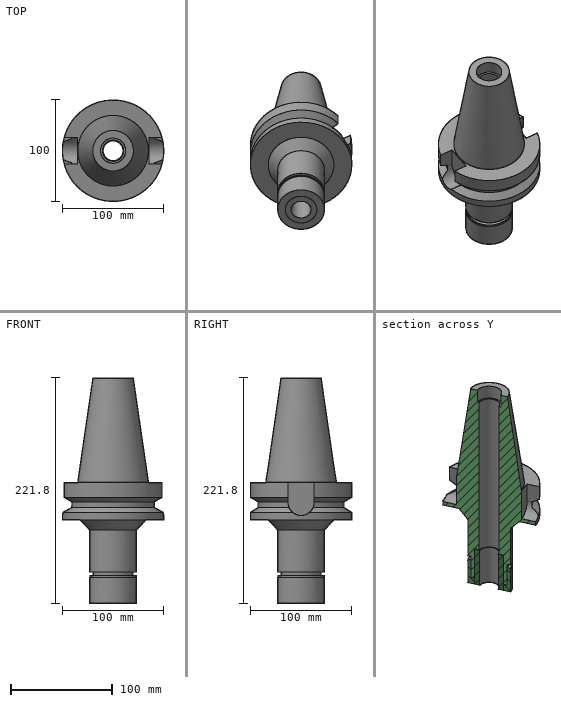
import cadquery as cq

total_height = 221.8
gauge_height = 120.0
flange_top = 118.9
groove_top = 104.5
groove_bottom = 89.5
flange_bottom = 82.0
shank_top = 72.0
shank_bottom = 30.5
nut_height = 27.3
nut_body_height = 25.3
neck_bottom = 6.7

flange_diameter = 100.0
flange_radius = flange_diameter / 2
groove_radius = 42.5
groove_wall_height = 4.7
taper_large_radius = 34.8
taper_ratio = 7 / 24
taper_small_radius = taper_large_radius - (total_height - gauge_height) * taper_ratio / 2
flange_cone_radius = 32.4
shank_radius = 23.0
neck_radius = 19.7

thread_bore_radius = 12.5
thread_bore_depth = 13.5
through_bore_radius = 10.5

slot_width = 25.7
slot_floor_distance = 35.3
slot_end_height = 86.5

nut_radius = 23.0
nut_rim_radius = 22.8
collet_radius = 15.5
collet_bore_radius = 9.8
collet_length = 40.0


def cylinder(radius, bottom, top):
    return cq.Workplane("XY").workplane(offset=bottom).circle(radius).extrude(top - bottom)


def holder_blank():
    profile = [
        (0, neck_bottom),
        (neck_radius, neck_bottom),
        (neck_radius, shank_bottom),
        (shank_radius, shank_bottom),
        (shank_radius, shank_top),
        (flange_cone_radius, flange_bottom),
        (flange_radius, flange_bottom),
        (flange_radius, groove_bottom),
        (groove_radius, groove_bottom + groove_wall_height),
        (groove_radius, groove_top - groove_wall_height),
        (flange_radius, groove_top),
        (flange_radius, flange_top),
        (taper_large_radius, flange_top),
        (taper_large_radius, gauge_height),
        (taper_small_radius, total_height),
        (0, total_height),
    ]
    return cq.Workplane("XZ").polyline(profile).close().revolve(360, (0, 0), (0, 1))


def drive_slot(side):
    """Round-ended slot cutter on the -X (side = -1) or +X (side = 1) edge of the flange."""
    end_radius = slot_width / 2
    end_center = slot_end_height + end_radius
    return (
        cq.Workplane("YZ")
        .workplane(offset=side * slot_floor_distance)
        .moveTo(-end_radius, flange_top)
        .lineTo(-end_radius, end_center)
        .threePointArc((0, slot_end_height), (end_radius, end_center))
        .lineTo(end_radius, flange_top)
        .close()
        .extrude(side * (flange_radius - slot_floor_distance))
    )


def make_holder():
    holder = holder_blank()
    for side in (-1, 1):
        holder = holder.cut(drive_slot(side))
    holder = holder.cut(cylinder(through_bore_radius, neck_bottom, total_height))
    holder = holder.cut(cylinder(thread_bore_radius, total_height - thread_bore_depth, total_height))
    return holder.cut(cylinder(collet_radius, neck_bottom, collet_length))


def make_nut():
    nut = cylinder(nut_radius, 0, nut_body_height)
    nut = nut.union(cylinder(nut_rim_radius, nut_body_height, nut_height))
    nut = nut.cut(cylinder(collet_radius, 0, nut_height))
    return nut.cut(cylinder(neck_radius, neck_bottom, nut_height))


def make_collet():
    collet = cylinder(collet_radius, 0, collet_length)
    return collet.cut(cylinder(collet_bore_radius, 0, collet_length))


holder = make_holder()
nut = make_nut()
collet = make_collet()

result = cq.Compound.makeCompound([holder.val(), nut.val(), collet.val()])